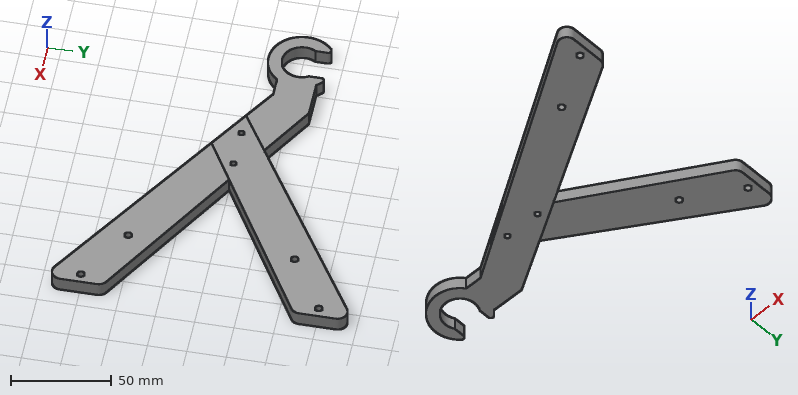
import cadquery as cq
import math

thickness = 8.0
lap_depth = thickness / 2

hook_y = 20.5
hook_outer_radius = 17.0
hook_inner_radius = 10.0
mouth_width = 17.2
tip_radius = 1.6

neck_width = 20.0
neck_top = hook_y + neck_width / 2
neck_bottom = hook_y - neck_width / 2

overall_length = 182.7
arm_end_x = overall_length - hook_outer_radius
upper_bend_x = 33.0
lower_bend_x = 23.8
inner_edge_angle = 30.7
outer_edge_angle = 32.2
end_radius = 5.0

end_hole_diameter = 3.7
end_hole_points = [(130.5, 42.2), (160.6, 60.3)]
lap_hole_diameter = 3.0
lap_hole_points = [(52.5, 0), (73.3, 0)]


def inner_edge_y(x):
    """Y of the arm edge that faces the other arm."""
    return neck_top - (x - upper_bend_x) * math.tan(math.radians(inner_edge_angle))


def outer_edge_y(x):
    """Y of the arm edge that faces away from the other arm."""
    return neck_bottom - (x - lower_bend_x) * math.tan(math.radians(outer_edge_angle))


def plate(points):
    return cq.Workplane("XY").polyline(points).close().extrude(thickness)


def holes(points, diameter):
    return cq.Workplane("XY").pushPoints(points).circle(diameter / 2).extrude(thickness)


def make_arm_blank():
    """Neck and sloping arm, without the hook or any holes."""
    blank = plate([
        (0, neck_top),
        (upper_bend_x, neck_top),
        (arm_end_x, inner_edge_y(arm_end_x)),
        (arm_end_x, outer_edge_y(arm_end_x)),
        (lower_bend_x, neck_bottom),
        (0, neck_bottom),
    ])
    return blank.edges("|Z and >X").fillet(end_radius)


def make_mouth():
    """Straight-sided gap from the hook centre out past its +Y rim."""
    return (
        cq.Workplane("XY")
        .center(0, hook_y + hook_outer_radius / 2)
        .rect(mouth_width, hook_outer_radius)
        .extrude(thickness)
    )


def make_hook_disc():
    """Disc with an open mouth toward +Y and rounded tips."""
    disc = cq.Workplane("XY").center(0, hook_y).circle(hook_outer_radius).extrude(thickness)
    return disc.cut(make_mouth()).edges("|Z and >Y").fillet(tip_radius)


def make_hook_opening():
    """Round seat of the hook together with its straight-sided mouth."""
    seat = cq.Workplane("XY").center(0, hook_y).circle(hook_inner_radius).extrude(thickness)
    return seat.union(make_mouth())


def make_brace(arm_blank):
    """Mirrored arm, cut off along the hook arm and half lapped over it."""
    brace = arm_blank.mirror("XZ")
    beyond_hook_arm = plate([
        (0, outer_edge_y(0)),
        (arm_end_x, outer_edge_y(arm_end_x)),
        (arm_end_x, -outer_edge_y(arm_end_x)),
        (0, -outer_edge_y(arm_end_x)),
    ])
    brace = brace.intersect(beyond_hook_arm)
    lap_notch = arm_blank.translate((0, 0, -lap_depth))
    brace = brace.cut(lap_notch)
    end_holes = holes(end_hole_points, end_hole_diameter)
    lap_holes = holes(lap_hole_points, lap_hole_diameter)
    return brace.cut(end_holes).cut(lap_holes)


def make_hook_arm(arm_blank):
    """Arm with the hook, recessed on top to receive the brace."""
    arm = arm_blank.union(make_hook_disc()).cut(make_hook_opening())
    lap_recess = arm_blank.mirror("XZ").translate((0, 0, lap_depth))
    arm = arm.cut(lap_recess)
    end_holes = holes([(x, -y) for x, y in end_hole_points], end_hole_diameter)
    lap_holes = holes(lap_hole_points, lap_hole_diameter)
    return arm.cut(end_holes).cut(lap_holes)


arm_blank = make_arm_blank()
hook_arm = make_hook_arm(arm_blank)
brace = make_brace(arm_blank)

result = cq.Compound.makeCompound([hook_arm.val(), brace.val()])